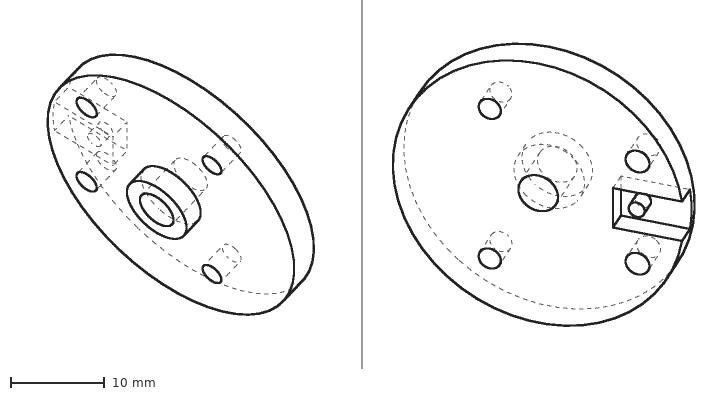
import cadquery as cq
import math

disc_diameter = 33.0
disc_thickness = 3.5
hub_diameter = 8.0
hub_length = 2.5
bore_diameter = 4.5

large_hole_diameter = 2.7
large_hole_radius = 13.0
large_hole_angle = 150.0
small_hole_diameter = 2.5
small_hole_radius = 11.0
small_hole_angle = 60.0

pocket_width = 5.0
pocket_depth = 2.5
pin_diameter = 1.8
pin_length = 2.0
pin_x = -small_hole_radius
pocket_end_x = pin_x + pocket_width / 2
pocket_floor_y = disc_thickness - pocket_depth


def cylinder_along_y(diameter, start_y, length, x=0.0, z=0.0):
    """Solid cylinder running from start_y towards +Y."""
    base = cq.Vector(x, start_y, z)
    return cq.Workplane(cq.Solid.makeCylinder(diameter / 2, length, base, cq.Vector(0, 1, 0)))


def cut_hole_pair(body, diameter, circle_radius, angle):
    """Drill two through holes through the disc, at +angle and -angle from +X."""
    for side_angle in (angle, -angle):
        x = circle_radius * math.cos(math.radians(side_angle))
        z = circle_radius * math.sin(math.radians(side_angle))
        body = body.cut(cylinder_along_y(diameter, 0, disc_thickness, x, z))
    return body


def make_pocket():
    """Rectangular cutter reaching from the -X rim to the pocket's end wall."""
    rim_x = -disc_diameter / 2
    return cq.Workplane("XY").box(
        pocket_end_x - rim_x, pocket_depth, pocket_width, centered=(False, False, True)
    ).translate((rim_x, pocket_floor_y, 0))


disc = cylinder_along_y(disc_diameter, 0, disc_thickness)
hub = cylinder_along_y(hub_diameter, -hub_length, hub_length)
bore = cylinder_along_y(bore_diameter, -hub_length, hub_length + disc_thickness)
body = disc.union(hub).cut(bore)

body = cut_hole_pair(body, large_hole_diameter, large_hole_radius, large_hole_angle)
body = cut_hole_pair(body, small_hole_diameter, small_hole_radius, small_hole_angle)

pin = cylinder_along_y(pin_diameter, pocket_floor_y, pin_length, x=pin_x)
result = body.cut(make_pocket()).union(pin)